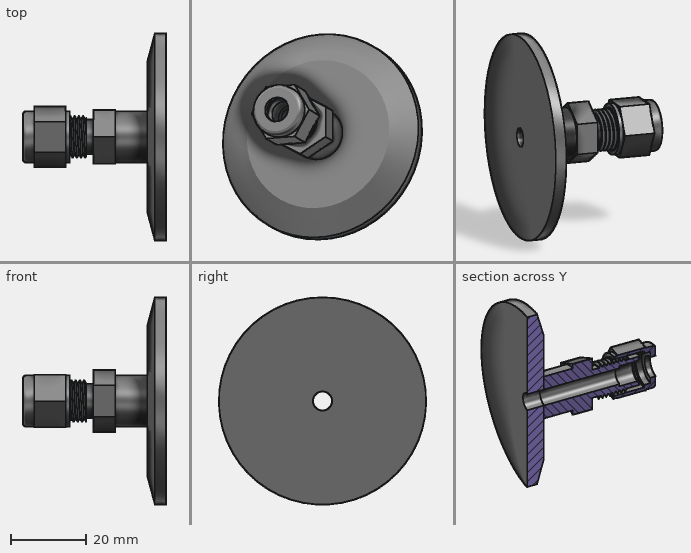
import cadquery as cq
import math


total_length = 38.0

flange_diameter = 55.0
flange_rim_width = 3.0
flange_front_diameter = 40.0
flange_taper_angle = 15.0
flange_taper_depth = (
    (flange_diameter - flange_front_diameter) / 2 * math.tan(math.radians(flange_taper_angle))
)
flange_rim_start = total_length - flange_rim_width
flange_start = flange_rim_start - flange_taper_depth

shank_diameter = 13.7
body_hex_flats = 14.29
body_hex_start = 18.7
body_hex_end = 24.55
neck_diameter = 9.24
bore_diameter = 5.0

thread_crest_diameter = 11.11
thread_root_diameter = 9.35
thread_pitch = 1.12
thread_end = 16.82
thread_crest_x = 12.9
thread_turns_in_nut = 4
thread_root_flat = 0.1
thread_root_overlap = 0.1

nut_diameter = shank_diameter
nut_length = 12.5
nut_hex_flats = 14.0
nut_hex_start = 3.0
nut_hex_end = 11.35
nut_front_fillet = 1.0
nut_bore_diameter = 6.5
nut_front_wall = 1.65
nut_cavity_diameter = 10.0
nut_cavity_depth = 3.5
nut_thread_bore_diameter = 11.6

body_start = 4.75
seat_mouth_diameter = 8.3
seat_angle = 55.0
socket_diameter = 6.35
socket_depth = 6.0
seat_depth = (seat_mouth_diameter - socket_diameter) / 2 / math.tan(math.radians(seat_angle))
socket_end = body_start + socket_depth


def cylinder(diameter, start, end):
    return cq.Workplane("YZ", origin=(start, 0, 0)).circle(diameter / 2).extrude(end - start)


def hexagon(flats, start, end, turn):
    """Hexagonal prism with a corner on +Y, turned about X by `turn` degrees."""
    corner_diameter = flats / math.cos(math.radians(30))
    prism = cq.Workplane("YZ", origin=(start, 0, 0)).polygon(6, corner_diameter).extrude(end - start)
    return prism.rotate((0, 0, 0), (1, 0, 0), turn)


def thread_ridge():
    """Right-handed V ridge that winds along X past the end of the thread."""
    first_crest = thread_crest_x - thread_turns_in_nut * thread_pitch
    turns = math.ceil((thread_end - first_crest) / thread_pitch) + 1
    crest_radius = thread_crest_diameter / 2
    root_radius = thread_root_diameter / 2
    base_radius = root_radius - thread_root_overlap
    half_base = (thread_pitch - thread_root_flat) / 2
    helix = cq.Wire.makeHelix(thread_pitch, turns * thread_pitch, root_radius)
    profile = (
        cq.Workplane("XZ")
        .moveTo(base_radius, -half_base)
        .lineTo(root_radius, -half_base)
        .lineTo(crest_radius, 0)
        .lineTo(root_radius, half_base)
        .lineTo(base_radius, half_base)
        .close()
    )
    ridge = profile.sweep(cq.Workplane(helix), isFrenet=True)
    ridge = ridge.rotate((0, 0, 0), (0, 1, 0), 90).rotate((0, 0, 0), (1, 0, 0), 180)
    return ridge.translate((first_crest, 0, 0))


def make_flange():
    flange = (
        cq.Workplane("XZ")
        .moveTo(flange_start, 0)
        .lineTo(flange_start, flange_front_diameter / 2)
        .lineTo(flange_rim_start, flange_diameter / 2)
        .lineTo(total_length, flange_diameter / 2)
        .lineTo(total_length, 0)
        .close()
        .revolve(360, (0, 0, 0), (1, 0, 0))
    )
    return flange.cut(cylinder(bore_diameter, flange_start, total_length))


def tube_passage():
    """Conical seat, tube socket and bore, as the space they leave in the body."""
    return (
        cq.Workplane("XZ")
        .moveTo(body_start, 0)
        .lineTo(body_start, seat_mouth_diameter / 2)
        .lineTo(body_start + seat_depth, socket_diameter / 2)
        .lineTo(socket_end, socket_diameter / 2)
        .lineTo(socket_end, bore_diameter / 2)
        .lineTo(flange_start, bore_diameter / 2)
        .lineTo(flange_start, 0)
        .close()
        .revolve(360, (0, 0, 0), (1, 0, 0))
    )


def make_body():
    body = cylinder(thread_root_diameter, body_start, body_hex_start).union(thread_ridge())
    body = body.cut(cylinder(flange_diameter, thread_end, total_length))
    body = body.union(cylinder(neck_diameter, thread_end, body_hex_start))
    body = body.union(hexagon(body_hex_flats, body_hex_start, body_hex_end, 30))
    body = body.union(cylinder(shank_diameter, body_hex_end, flange_start))
    return body.cut(tube_passage())


def make_nut():
    nut = cylinder(nut_diameter, 0, nut_length).faces("<X").edges().fillet(nut_front_fillet)
    nut = nut.union(hexagon(nut_hex_flats, nut_hex_start, nut_hex_end, 0))
    nut = nut.cut(cylinder(nut_bore_diameter, 0, nut_front_wall))
    nut = nut.cut(cylinder(nut_cavity_diameter, nut_front_wall, nut_cavity_depth))
    return nut.cut(cylinder(nut_thread_bore_diameter, nut_cavity_depth, nut_length))


flange = make_flange()
body = make_body()
nut = make_nut()

result = cq.Compound.makeCompound(
    [flange.solids().val(), body.solids().val(), nut.solids().val()]
)